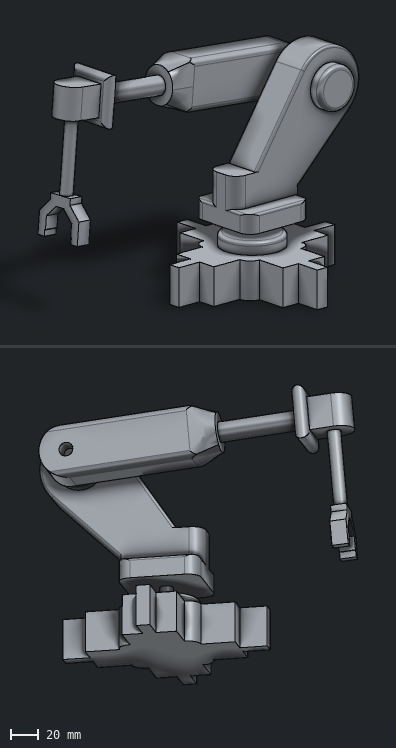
import cadquery as cq
import math

STEP = 10.0
PIN_D = STEP

BASE_HEIGHT = 3 * STEP
FOOT_SIDE = 6 * STEP
CORNER_R = STEP
CROSS_BARS = [(11 * STEP, 4 * STEP), (15 * STEP, STEP)]
DISC_D = 50.0
DISC_HEIGHT = STEP
DISC_FILLET = 3.0
SHAFT_LENGTH = STEP

FLANGE_Z = BASE_HEIGHT + DISC_HEIGHT + SHAFT_LENGTH
FLANGE_HEIGHT = 1.5 * STEP
FLANGE_FILLET = 2.0
ARM_WIDTH = 3 * STEP
ARM_END_R = 3 * STEP
ARM_EDGE = 2.0
HEEL_Z = 7 * STEP
TOE_Z = 9 * STEP
TOE_LENGTH = 2 * STEP

ELBOW_Y = 6 * STEP
ELBOW_Z = 14 * STEP
HUB_D = 35.0
HUB_LENGTH = 5 * STEP
HUB_FILLET = 3.5
JOINT_GAP = STEP / 2

FOREARM_TILT = 5.0
FOREARM_WIDTH = 3 * STEP
FOREARM_HEIGHT = 4 * STEP
FOREARM_FILLET = STEP / 2
FOREARM_BOX_END = 9 * STEP
NOSE_LENGTH = 2 * STEP
NOSE_D = FOREARM_WIDTH
FOREARM_X = -(HUB_LENGTH / 2 + JOINT_GAP + FOREARM_WIDTH / 2)

ROD_LENGTH = 57.9
WRIST_ROD_D = 15.0
PLATE_SIDE = 4 * STEP
PLATE_THICKNESS = STEP
BLOCK_SIDE = 2.5 * STEP
BLOCK_LENGTH = 3 * STEP

GRIPPER_TWIST = 3.0
CLAW_DEPTH = 12.0
CLAW_HEIGHT = 33.3
CROWN_HALF_WIDTH = STEP
CROWN_HEIGHT = STEP / 2
CLAW_HALF_WIDTH = 2 * STEP
SLOPE_END = 1.5 * STEP
FINGER_THICKNESS = 7.5
TIP_LENGTH = STEP / 2
TIP_RECESS = 0.7
THROAT_HALF_WIDTH = 3.5
THROAT_DEPTH = 8.8

NOSE_END = FOREARM_BOX_END + NOSE_LENGTH
PLATE_START = NOSE_END + ROD_LENGTH
BLOCK_START = PLATE_START + PLATE_THICKNESS
GRIPPER_REACH = BLOCK_START + BLOCK_LENGTH / 2


def upright_block(size_x, size_y, height, z):
    """Block centred on the Z axis, standing on height z."""
    return cq.Workplane("XY", origin=(0, 0, z)).box(size_x, size_y, height, centered=(True, True, False))


def rounded_square(side, height, z):
    """Upright square block with rounded vertical corners."""
    return upright_block(side, side, height, z).edges("|Z").fillet(CORNER_R)


def tangent_point(px, py, side):
    """Point where a line from (px, py) touches the arm's end circle.

    side is +1 or -1 and chooses one of the two tangents.
    """
    dx = px - ELBOW_Y
    dy = py - ELBOW_Z
    angle = math.atan2(dy, dx) + side * math.acos(ARM_END_R / math.hypot(dx, dy))
    return (ELBOW_Y + ARM_END_R * math.cos(angle), ELBOW_Z + ARM_END_R * math.sin(angle))


def along_forearm(reach):
    """Workplane across the untilted forearm at a distance from the elbow axis."""
    return cq.Workplane("XZ", origin=(FOREARM_X, -reach, 0))


def place_on_elbow(body):
    """Tilt a body about the elbow axis and move it up to the elbow."""
    tilted = body.rotate((0, 0, 0), (1, 0, 0), -FOREARM_TILT)
    return tilted.translate((0, ELBOW_Y, ELBOW_Z))


def make_base():
    base = rounded_square(FOOT_SIDE, BASE_HEIGHT, 0)
    for length, width in CROSS_BARS:
        for size_x, size_y in ((length, width), (width, length)):
            base = base.union(upright_block(size_x, size_y, BASE_HEIGHT, 0))
    base_top = cq.Workplane("XY", origin=(0, 0, BASE_HEIGHT))
    disc = base_top.circle(DISC_D / 2).extrude(DISC_HEIGHT)
    disc = disc.faces(">Z").edges().fillet(DISC_FILLET)
    shaft = base_top.circle(PIN_D / 2).extrude(DISC_HEIGHT + SHAFT_LENGTH)
    return base.union(disc).union(shaft)


def make_shoulder():
    half = FOOT_SIDE / 2
    flange = upright_block(FOOT_SIDE, FOOT_SIDE, FLANGE_HEIGHT, FLANGE_Z)
    flange = flange.faces(">Z").edges().fillet(FLANGE_FILLET)
    flange = flange.intersect(rounded_square(FOOT_SIDE, FLANGE_HEIGHT, FLANGE_Z))

    toe = (TOE_LENGTH - half, TOE_Z)
    heel = (half, HEEL_Z)
    front_tangent = tangent_point(*toe, -1)
    rear_tangent = tangent_point(*heel, 1)
    top = (ELBOW_Y, ELBOW_Z + ARM_END_R)
    arm = (
        cq.Workplane("YZ", origin=(-ARM_WIDTH / 2, 0, 0))
        .moveTo(-half, FLANGE_Z)
        .lineTo(-half, TOE_Z)
        .lineTo(*toe)
        .lineTo(*front_tangent)
        .threePointArc(top, rear_tangent)
        .lineTo(*heel)
        .lineTo(half, FLANGE_Z)
        .close()
        .extrude(ARM_WIDTH)
    )
    outline_edges = arm.faces("<X or >X").edges("not(|Y or |Z)")
    arm = outline_edges.fillet(ARM_EDGE)
    arm = arm.edges("|Z and <Y").fillet(CORNER_R)
    elbow_plane = cq.Workplane("YZ", origin=(-ARM_WIDTH / 2, ELBOW_Y, ELBOW_Z))
    hub_hole = elbow_plane.circle(HUB_D / 2).extrude(ARM_WIDTH)
    return flange.union(arm).cut(hub_hole)


def make_elbow_axle():
    hub = cq.Workplane("YZ", origin=(-HUB_LENGTH / 2, ELBOW_Y, ELBOW_Z)).circle(HUB_D / 2).extrude(HUB_LENGTH)
    hub = hub.edges().fillet(HUB_FILLET)
    pin = cq.Workplane("YZ", origin=(FOREARM_X, ELBOW_Y, ELBOW_Z)).circle(PIN_D / 2).extrude(-FOREARM_X)
    return hub.union(pin)


def make_forearm():
    end_r = FOREARM_HEIGHT / 2
    side_plane = cq.Workplane("YZ", origin=(FOREARM_X - FOREARM_WIDTH / 2, 0, 0))
    bar = (
        side_plane.moveTo(0, end_r)
        .lineTo(-FOREARM_BOX_END, end_r)
        .lineTo(-FOREARM_BOX_END, -end_r)
        .lineTo(0, -end_r)
        .threePointArc((end_r, 0), (0, end_r))
        .close()
        .extrude(FOREARM_WIDTH)
    )
    nose = (
        along_forearm(FOREARM_BOX_END)
        .rect(FOREARM_WIDTH, FOREARM_HEIGHT)
        .workplane(offset=NOSE_LENGTH)
        .circle(NOSE_D / 2)
        .loft()
    )
    envelope = along_forearm(-end_r).rect(FOREARM_WIDTH, FOREARM_HEIGHT).extrude(end_r + NOSE_END)
    envelope = envelope.edges("|Y").fillet(FOREARM_FILLET)
    pin_hole = side_plane.circle(PIN_D / 2).extrude(FOREARM_WIDTH)
    return place_on_elbow(bar.union(nose).intersect(envelope).cut(pin_hole))


def make_wrist():
    rod = along_forearm(NOSE_END).circle(WRIST_ROD_D / 2).extrude(ROD_LENGTH)

    plate_center = (FOREARM_X, -PLATE_START - PLATE_THICKNESS / 2, 0)
    side_slot = cq.Workplane("YZ", origin=plate_center).slot2D(PLATE_SIDE, PLATE_THICKNESS, 90)
    top_slot = cq.Workplane("XY", origin=plate_center).slot2D(PLATE_SIDE, PLATE_THICKNESS)
    half_side = PLATE_SIDE / 2
    plate = side_slot.extrude(half_side, both=True).intersect(top_slot.extrude(half_side, both=True))

    nose_r = BLOCK_SIDE / 2
    straight_end = BLOCK_START + BLOCK_LENGTH - nose_r
    block = (
        cq.Workplane("XY", origin=(FOREARM_X, 0, -BLOCK_SIDE / 2))
        .moveTo(-nose_r, -BLOCK_START)
        .lineTo(-nose_r, -straight_end)
        .threePointArc((0, -BLOCK_START - BLOCK_LENGTH), (nose_r, -straight_end))
        .lineTo(nose_r, -BLOCK_START)
        .close()
        .extrude(BLOCK_SIDE)
    )
    return place_on_elbow(rod.union(plate).union(block))


def make_gripper():
    rod = cq.Workplane("XY").circle(PIN_D / 2).extrude(-ROD_LENGTH)
    inner = CLAW_HALF_WIDTH - FINGER_THICKNESS
    throat_end = THROAT_DEPTH + inner - THROAT_HALF_WIDTH
    claw = (
        cq.Workplane("XZ", origin=(0, CLAW_DEPTH / 2, -ROD_LENGTH))
        .moveTo(0, 0)
        .lineTo(CROWN_HALF_WIDTH, 0)
        .lineTo(CROWN_HALF_WIDTH, -CROWN_HEIGHT)
        .lineTo(CLAW_HALF_WIDTH, -SLOPE_END)
        .lineTo(CLAW_HALF_WIDTH, -CLAW_HEIGHT)
        .lineTo(inner + TIP_RECESS, -CLAW_HEIGHT)
        .lineTo(inner + TIP_RECESS, TIP_LENGTH - CLAW_HEIGHT)
        .lineTo(inner, TIP_LENGTH - CLAW_HEIGHT)
        .lineTo(inner, -throat_end)
        .lineTo(THROAT_HALF_WIDTH, -THROAT_DEPTH)
        .lineTo(0, -THROAT_DEPTH)
        .mirrorY()
        .extrude(CLAW_DEPTH)
    )
    gripper = rod.union(claw).rotate((0, 0, 0), (0, 0, 1), GRIPPER_TWIST)
    return place_on_elbow(gripper.translate((FOREARM_X, -GRIPPER_REACH, -BLOCK_SIDE / 2)))


base = make_base()
shoulder = make_shoulder()
elbow_axle = make_elbow_axle()
forearm = make_forearm()
wrist = make_wrist()
gripper = make_gripper()

result = cq.Compound.makeCompound(
    [base.val(), shoulder.val(), elbow_axle.val(), forearm.val(), wrist.val(), gripper.val()]
)